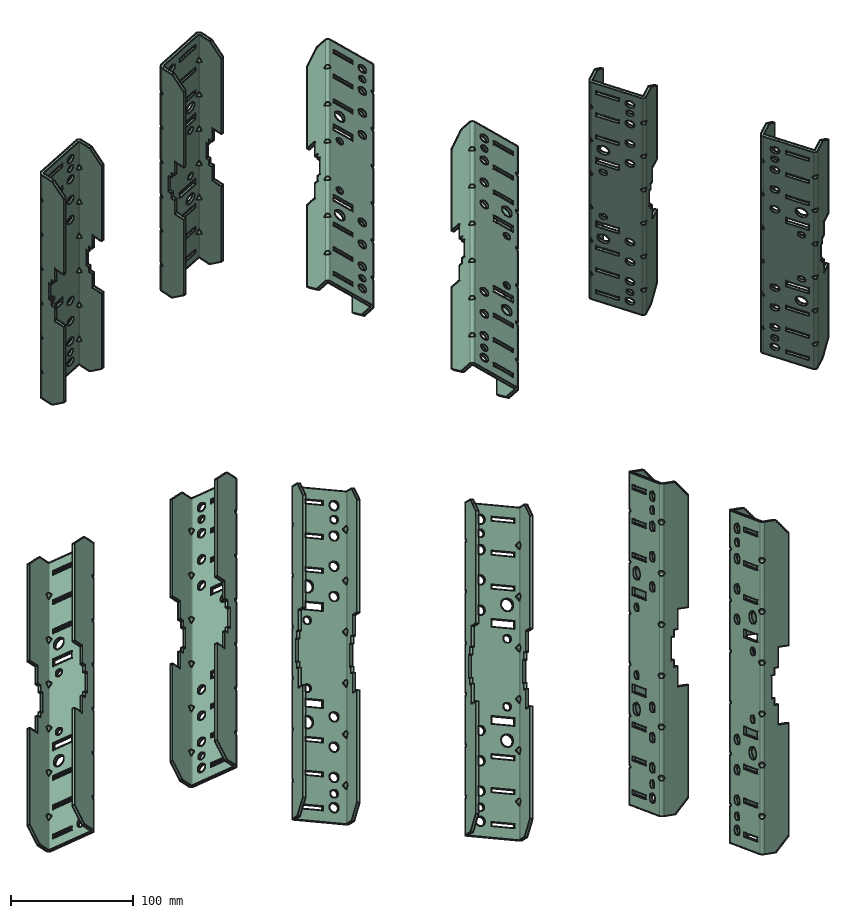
import cadquery as cq
import math

RAIL_LENGTH = 279.5
RAIL_WIDTH = 49.7
FLANGE_DEPTH = 26.5
SHEET = 2.5
BEND_RADIUS = 2.8
BEND_INNER_RADIUS = BEND_RADIUS - SHEET
OVERALL_WIDTH = 200.5
RAIL_OFFSET = (OVERALL_WIDTH - RAIL_WIDTH) / 2

END_CHAMFER = 12.5
NOTCH_STEPS = [(16.5, 32.7), (12.9, 15.6), (10.0, 9.8)]

DIMPLE_COUNT = 6
DIMPLE_PITCH = 43.0
GROOVE_REACH = 4.0
RIB_REACH = 3.4
DIMPLE_SLOPE = 1.4
DIMPLE_TIP_RADIUS = 0.5

SIDE_HOLE_Y = -11.7
SIDE_HOLE_DIAMETER = 8.0
SIDE_HOLE_TOP = 126.8
SIDE_HOLE_PITCH = 25.5
SIDE_HOLE_COUNT = 4
SMALL_HOLE_DIAMETER = 6.7
SMALL_SIDE_HOLE_Z = 115.0
INNER_HOLE_Y = -SIDE_HOLE_Y
SMALL_INNER_HOLE_Z = 28.5
LARGE_HOLE_DIAMETER = 10.5
LARGE_HOLE_Z = 57.0
SLOT_Y = 8.0
SLOT_LENGTH = 20.0
THIN_SLOT_HEIGHT = 3.5
THIN_SLOT_TOP = 128.2
THIN_SLOT_PITCH = 28.5
THIN_SLOT_COUNT = 3
WIDE_SLOT_HEIGHT = 6.7
WIDE_SLOT_Z = 40.8


def rail_envelope():
    """Solid bar with the outer shape of the channel."""
    bar = cq.Workplane("XY").box(FLANGE_DEPTH, RAIL_WIDTH, RAIL_LENGTH, centered=(False, True, True))
    return bar.edges("|Z and <X").fillet(BEND_RADIUS)


def channel_bore():
    """Space between the flanges, open to +X."""
    bore = cq.Workplane("XY").box(
        FLANGE_DEPTH, RAIL_WIDTH - 2 * SHEET, RAIL_LENGTH, centered=(False, True, True)
    )
    return bore.edges("|Z and <X").fillet(BEND_INNER_RADIUS).translate((SHEET, 0, 0))


def flange_trims():
    """Corner wedges and notch steps, running through both flanges."""
    half_length = RAIL_LENGTH / 2
    top_wedge = (
        cq.Workplane("XZ")
        .moveTo(FLANGE_DEPTH, half_length)
        .lineTo(FLANGE_DEPTH - END_CHAMFER, half_length)
        .lineTo(FLANGE_DEPTH, half_length - END_CHAMFER)
        .close()
        .extrude(RAIL_WIDTH / 2, both=True)
    )
    trims = top_wedge.union(top_wedge.mirror("XY"))
    for floor_x, half_height in NOTCH_STEPS:
        step = cq.Workplane("XY").box(
            FLANGE_DEPTH - floor_x, RAIL_WIDTH, 2 * half_height, centered=(False, True, True)
        )
        trims = trims.union(step.translate((floor_x, 0, 0)))
    return trims


def corner_wedges(reach):
    """V-shaped prisms across both bends, each with its flanks converging on the
    line that meets the two outer faces at `reach` from their corner, and its tip rounded."""
    depth = reach / math.sqrt(2)
    half_height = depth * DIMPLE_SLOPE
    tip_line_middle = (reach / 2, (reach - RAIL_WIDTH) / 2, 0)
    across_bend = cq.Plane(
        origin=(0, -RAIL_WIDTH / 2, 0),
        xDir=(1, 1, 0),
        normal=(1, -1, 0),
    )
    wedge = (
        cq.Workplane(across_bend)
        .moveTo(depth, 0)
        .lineTo(0, half_height)
        .lineTo(0, -half_height)
        .close()
        .extrude(depth, both=True)
        .edges(cq.selectors.NearestToPointSelector(tip_line_middle))
        .fillet(DIMPLE_TIP_RADIUS)
    )
    pair = wedge.union(wedge.mirror("XZ"))
    wedges = cq.Workplane("XY")
    for index in range(DIMPLE_COUNT):
        height = (index - (DIMPLE_COUNT - 1) / 2) * DIMPLE_PITCH
        wedges = wedges.add(pair.translate((0, 0, height)))
    return wedges.combine()


def web_hole(y, z, diameter):
    """Round cutter through the web."""
    return cq.Workplane("YZ").center(y, z).circle(diameter / 2).extrude(2 * SHEET)


def web_slot(z, height):
    """Rectangular cutter through the web."""
    return cq.Workplane("YZ").center(SLOT_Y, z).rect(SLOT_LENGTH, height).extrude(2 * SHEET)


def web_openings():
    """All holes and slots of the web, the same above and below mid-length."""
    openings = [
        web_hole(SIDE_HOLE_Y, SMALL_SIDE_HOLE_Z, SMALL_HOLE_DIAMETER),
        web_hole(INNER_HOLE_Y, SMALL_INNER_HOLE_Z, SMALL_HOLE_DIAMETER),
        web_hole(INNER_HOLE_Y, LARGE_HOLE_Z, LARGE_HOLE_DIAMETER),
        web_slot(WIDE_SLOT_Z, WIDE_SLOT_HEIGHT),
    ]
    for index in range(SIDE_HOLE_COUNT):
        z = SIDE_HOLE_TOP - index * SIDE_HOLE_PITCH
        openings.append(web_hole(SIDE_HOLE_Y, z, SIDE_HOLE_DIAMETER))
    for index in range(THIN_SLOT_COUNT):
        z = THIN_SLOT_TOP - index * THIN_SLOT_PITCH
        openings.append(web_slot(z, THIN_SLOT_HEIGHT))
    upper = cq.Workplane("XY")
    for opening in openings:
        upper = upper.add(opening)
    upper = upper.combine()
    return upper.union(upper.mirror("XY"))


def make_rail():
    """One rail centred on the origin in Y and Z, the outer face of its web at X = 0."""
    envelope = rail_envelope()
    ribs = corner_wedges(2 * SHEET + RIB_REACH).intersect(envelope)
    rail = envelope.cut(channel_bore()).union(ribs)
    rail = rail.cut(corner_wedges(GROOVE_REACH))
    return rail.cut(flange_trims()).cut(web_openings())


rail_at_offset = make_rail().translate((0, RAIL_OFFSET, 0))
rails = [rail_at_offset, rail_at_offset.mirror("XZ")]

result = cq.Compound.makeCompound([rail.val() for rail in rails])